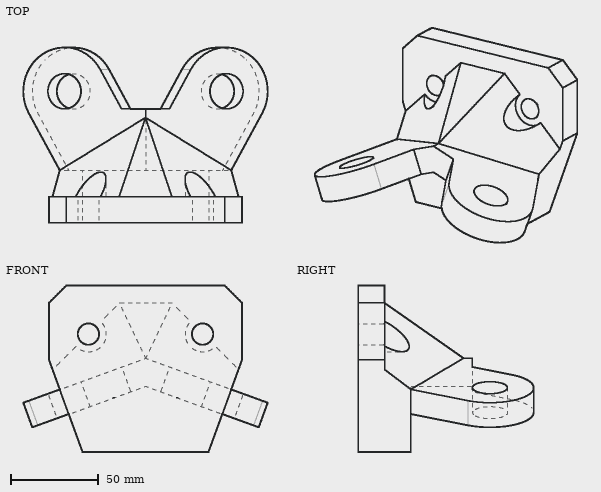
import cadquery as cq
import math

plate_width = 110.0
plate_height = 95.0
plate_thickness = 15.0
corner_chamfer = 10.0

tilt_angle = 20.0
ridge_height = 53.5
lug_thickness = 15.0
lug_radius = 25.0
lug_hole_diameter = 20.0
lug_eye_y = 75.0
lug_splay_angle = 30.0
web_front_y = 65.0

block_depth = 30.0
block_side = 52.03

gusset_apex_y = 60.0
gusset_height = plate_height - corner_chamfer
gusset_half_width = 15.0

bolt_spacing = 65.0
bolt_height = 67.2
bolt_diameter = 12.0
bolt_head_diameter = 20.0

tilt = math.radians(tilt_angle)
splay = math.radians(lug_splay_angle)
half_width = plate_width / 2


def tilted_point(along, y):
    """Point on the top plane of the +X lug, at a distance along the tilt."""
    return (along * math.cos(tilt), y, ridge_height - along * math.sin(tilt))


def side_x(z):
    """X of the sloping side face, square to the lug, at height z."""
    return (block_side + (z - ridge_height) * math.sin(tilt)) / math.cos(tilt)


def side_z(x):
    """Height at which the sloping side face reaches x."""
    return ridge_height + (x * math.cos(tilt) - block_side) / math.sin(tilt)


def mirror_x(points):
    return [(-x, z) for x, z in reversed(points)]


def extrude_along_y(outline, depth):
    """Extrude an XZ outline from Y = 0 towards +Y."""
    return cq.Workplane("XZ").polyline(outline).close().extrude(-depth)


def make_plate(thickness):
    right_side = [
        (side_x(0), 0),
        (half_width, side_z(half_width)),
        (half_width, plate_height - corner_chamfer),
        (half_width - corner_chamfer, plate_height),
    ]
    return extrude_along_y(right_side + mirror_x(right_side), thickness)


def make_block():
    shoulder_x, _, shoulder_z = tilted_point(block_side, 0)
    right_side = [(side_x(0), 0), (shoulder_x, shoulder_z)]
    ridge = [(0, ridge_height)]
    return extrude_along_y(right_side + ridge + mirror_x(right_side), block_depth)


def make_lug():
    """The +X lug with its half of the web, drawn in its tilted top plane."""
    eye_along = (
        block_side
        + (lug_eye_y - block_depth) * math.tan(splay)
        - lug_radius / math.cos(splay)
    )
    edge_along = lug_radius * math.cos(splay)
    edge_y = lug_radius * math.sin(splay)
    outer_tangent = (eye_along + edge_along, lug_eye_y - edge_y)
    inner_tangent = (eye_along - edge_along, lug_eye_y + edge_y)
    tip = (eye_along + edge_y, lug_eye_y + edge_along)
    neck_along = inner_tangent[0] - (inner_tangent[1] - web_front_y) * math.tan(splay)

    top_plane = cq.Plane(
        origin=(0, 0, ridge_height),
        xDir=(math.cos(tilt), 0, -math.sin(tilt)),
        normal=(math.sin(tilt), 0, math.cos(tilt)),
    )
    lug = (
        cq.Workplane(top_plane)
        .moveTo(0, 0)
        .lineTo(block_side, 0)
        .lineTo(block_side, block_depth)
        .lineTo(*outer_tangent)
        .threePointArc(tip, inner_tangent)
        .lineTo(neck_along, web_front_y)
        .lineTo(0, web_front_y)
        .close()
        .extrude(-lug_thickness)
    )
    hole = (
        cq.Workplane(top_plane)
        .center(eye_along, lug_eye_y)
        .circle(lug_hole_diameter / 2)
        .extrude(-lug_thickness)
    )
    positive_x_half = cq.Workplane("XY").box(
        plate_width, lug_eye_y + lug_radius, plate_height, centered=False
    )
    return lug.cut(hole).intersect(positive_x_half)


def make_pyramid(apex, base):
    sides = [
        cq.Face.makeFromWires(cq.Wire.makePolygon([apex, start, end], close=True))
        for start, end in zip(base, base[1:] + base[:1])
    ]
    bottom = cq.Face.makeFromWires(cq.Wire.makePolygon(base, close=True))
    shell = cq.Shell.makeShell(sides + [bottom])
    return cq.Workplane(obj=cq.Solid.makeSolid(shell))


def make_gusset():
    """Pyramid from the ridge back to the plate, trimmed by the part's sides."""
    foot_along = block_side * (gusset_apex_y - plate_thickness) / (gusset_apex_y - block_depth)
    foot_x, _, foot_z = tilted_point(foot_along, plate_thickness)
    right_base = [(foot_x, foot_z), (gusset_half_width, gusset_height)]
    base_outline = [(0, ridge_height)] + right_base + mirror_x(right_base)
    base = [cq.Vector(x, plate_thickness, z) for x, z in base_outline]
    apex = cq.Vector(0, gusset_apex_y, ridge_height)
    return make_pyramid(apex, base).intersect(make_plate(gusset_apex_y))


def make_bolt_cylinder(x, diameter, start_y, end_y):
    return (
        cq.Workplane("XZ", origin=(x, start_y, bolt_height))
        .circle(diameter / 2)
        .extrude(start_y - end_y)
    )


lug = make_lug()
result = make_plate(plate_thickness).union(make_block()).union(make_gusset())
result = result.union(lug).union(lug.mirror("YZ"))
for bolt_x in (-bolt_spacing / 2, bolt_spacing / 2):
    result = result.cut(make_bolt_cylinder(bolt_x, bolt_diameter, 0, plate_thickness))
    result = result.cut(
        make_bolt_cylinder(bolt_x, bolt_head_diameter, plate_thickness, gusset_apex_y)
    )